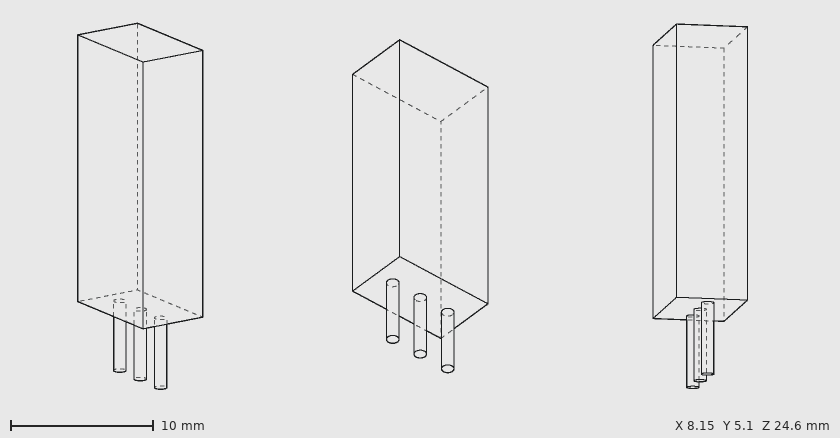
import cadquery as cq

total_height = 24.6
housing_width = 8.15
housing_depth = 5.1

pin_length = 5.1
pin_diameter = 0.89
pin_pitch = 2.53
pin_count = 3

housing_height = total_height - pin_length


def make_housing():
    """Plain rectangular block standing on the plane Z = 0."""
    return cq.Workplane("XY").box(
        housing_width, housing_depth, housing_height, centered=(True, True, False)
    )


def make_pin(x):
    """Round pin hanging from the underside of the housing."""
    return cq.Workplane("XY").center(x, 0).circle(pin_diameter / 2).extrude(-pin_length)


housing = make_housing()

pins = []
for index in range(pin_count):
    pin_x = (index - (pin_count - 1) / 2) * pin_pitch
    pins.append(make_pin(pin_x).val())

result = cq.Compound.makeCompound([housing.val(), *pins])